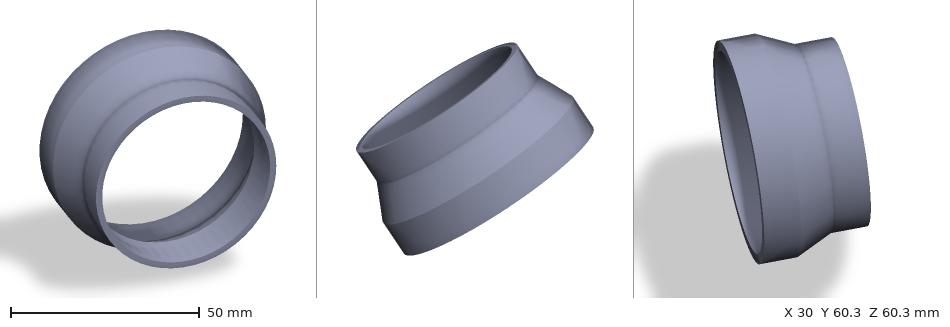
import cadquery as cq

total_length = 30.0
section_length = total_length / 3
wide_radius = 30.15
wide_bore_radius = 27.4
narrow_radius = 25.5
narrow_bore_radius = 23.8
bore_taper_length = 8.0

neck_start = section_length
neck_end = 2 * section_length
bore_taper_end = neck_start + bore_taper_length

wall_profile = (
    cq.Workplane("XY")
    .moveTo(0, wide_bore_radius)
    .lineTo(0, wide_radius)
    .lineTo(neck_start, wide_radius)
    .lineTo(neck_end, narrow_radius)
    .lineTo(total_length, narrow_radius)
    .lineTo(total_length, narrow_bore_radius)
    .lineTo(bore_taper_end, narrow_bore_radius)
    .lineTo(neck_start, wide_bore_radius)
    .close()
)

result = wall_profile.revolve(360, (0, 0, 0), (1, 0, 0))